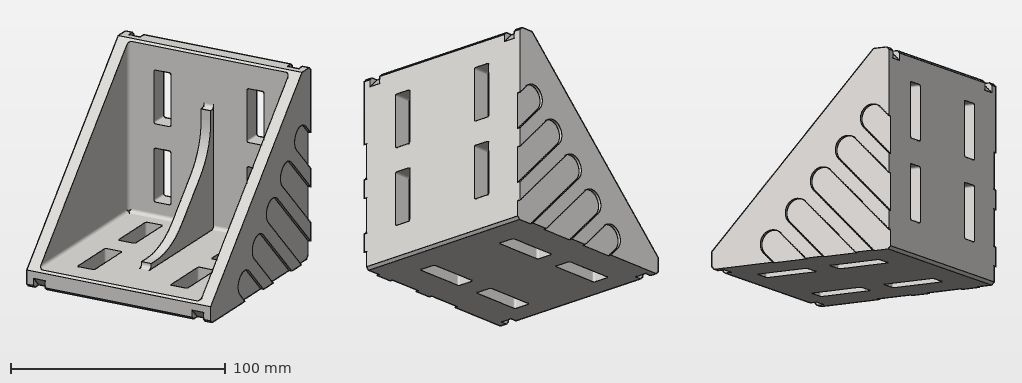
import cadquery as cq
import math

WIDTH = 98.0
LEG = 95.9
TIP_THICKNESS = 8.4
EDGE_CHAMFER = 1.4

PLATE_THICKNESS = 9.5
WALL_THICKNESS = 6.1
POCKET_FILLET = 1.9

SLOT_WIDTH = 9.0
SLOT_LENGTH = 26.9
SLOT_CORNER_RADIUS = 1.0
SLOT_SPACING_X = 49.6
SLOT_DISTANCES = (30.5, 69.5)

RIB_THICKNESS = 5.1
RIB_REACH = 71.4
RIB_FOOT_LEVEL = 12.3
RIB_FOOT_RADIUS = 2.1
RIB_ARC_RADIUS = 34.5
RIB_ARC_START = 64.2

NOTCH_WIDTH = 6.1
NOTCH_LEG = 4.9
NOTCH_OFFSET = 42.2

GROOVE_COUNT = 5
GROOVE_WIDTH = 12.5
GROOVE_DEPTH = 1.5
GROOVE_PITCH = 13.5
GROOVE_END = 36.3

BEYOND = 2 * LEG


def prism(profile, thickness, x_middle=0.0):
    """Extrude a closed YZ profile symmetrically about the plane X = x_middle."""
    return profile.extrude(thickness / 2, both=True).translate((x_middle, 0, 0))


def make_body():
    far = LEG - EDGE_CHAMFER
    outline = cq.Workplane("YZ").polyline([
        (-EDGE_CHAMFER, 0),
        (-far, 0),
        (-LEG, EDGE_CHAMFER),
        (-LEG, TIP_THICKNESS),
        (-TIP_THICKNESS, LEG),
        (-EDGE_CHAMFER, LEG),
        (0, far),
        (0, EDGE_CHAMFER),
    ]).close()
    return prism(outline, WIDTH)


def make_pocket():
    """Block that opens the space between the plates and walls, leaving fillets in the inner edges."""
    block = cq.Workplane("XY").box(
        WIDTH - 2 * WALL_THICKNESS, BEYOND, BEYOND, centered=(True, False, False)
    )
    pocket = block
    for direction in ("|X", "|Y", "|Z"):
        pocket = pocket.intersect(block.edges(direction).fillet(POCKET_FILLET))
    return pocket.translate((0, -PLATE_THICKNESS - BEYOND, PLATE_THICKNESS))


def make_slots():
    """Four slots through the base plate and the same four through the upright plate."""
    base_slot = cq.Workplane("XY").box(SLOT_WIDTH, SLOT_LENGTH, 3 * PLATE_THICKNESS)
    base_slot = base_slot.edges("|Z").fillet(SLOT_CORNER_RADIUS)
    upright_slot = base_slot.rotate((0, 0, 0), (1, 0, 0), 90)
    slots = cq.Workplane("XY")
    for x in (-SLOT_SPACING_X / 2, SLOT_SPACING_X / 2):
        for distance in SLOT_DISTANCES:
            slots = slots.add(base_slot.translate((x, -distance, 0)))
            slots = slots.add(upright_slot.translate((x, 0, distance)))
    return slots.combine()


def make_rib():
    def base(point):
        return -point[0], point[1]

    def upright(point):
        return -point[1], point[0]

    def on_arc(degrees):
        angle = math.radians(degrees)
        return (
            RIB_ARC_START - RIB_ARC_RADIUS * math.sin(angle),
            RIB_FOOT_LEVEL + RIB_ARC_RADIUS * (1 - math.cos(angle)),
        )

    def on_foot_rounding(degrees):
        angle = math.radians(degrees)
        return (
            RIB_REACH - RIB_FOOT_RADIUS * math.sin(angle),
            PLATE_THICKNESS + RIB_FOOT_RADIUS * (1 - math.cos(angle)),
        )

    sunk = PLATE_THICKNESS / 2
    sunk_corner = (sunk, sunk)
    sunk_toe = (RIB_REACH, sunk)
    toe = on_foot_rounding(0)
    rounding_middle = on_foot_rounding(45)
    rounding_top = on_foot_rounding(90)
    foot_top = (RIB_REACH - RIB_FOOT_RADIUS, RIB_FOOT_LEVEL)
    arc_start = on_arc(0)
    arc_middle = on_arc(22.5)
    arc_end = on_arc(45)

    profile = (
        cq.Workplane("YZ")
        .moveTo(*base(sunk_corner))
        .lineTo(*base(sunk_toe))
        .lineTo(*base(toe))
        .threePointArc(base(rounding_middle), base(rounding_top))
        .lineTo(*base(foot_top))
        .lineTo(*base(arc_start))
        .threePointArc(base(arc_middle), base(arc_end))
        .lineTo(*upright(arc_end))
        .threePointArc(upright(arc_middle), upright(arc_start))
        .lineTo(*upright(foot_top))
        .lineTo(*upright(rounding_top))
        .threePointArc(upright(rounding_middle), upright(toe))
        .lineTo(*upright(sunk_toe))
        .close()
    )
    return prism(profile, RIB_THICKNESS)


def make_notches():
    """Triangular cuts across the lower edge of the base tip and the rear edge of the upright tip."""
    base_triangle = [(-LEG, 0), (-LEG + NOTCH_LEG, 0), (-LEG, NOTCH_LEG)]
    upright_triangle = [(-z, -y) for y, z in base_triangle]
    notches = cq.Workplane("XY")
    for triangle in (base_triangle, upright_triangle):
        for x in (-NOTCH_OFFSET, NOTCH_OFFSET):
            outline = cq.Workplane("YZ").polyline(triangle).close()
            notches = notches.add(prism(outline, NOTCH_WIDTH, x))
    return notches.combine()


def make_grooves():
    """Round-ended grooves that run at 45 degrees down and out through the plates' outer faces."""
    grooves = cq.Workplane("XY")
    for x in (-WIDTH / 2, WIDTH / 2):
        outline = cq.Workplane("YZ").center(BEYOND / 2, 0).slot2D(BEYOND + GROOVE_WIDTH, GROOVE_WIDTH)
        groove = prism(outline, 2 * GROOVE_DEPTH, x).rotate((0, 0, 0), (1, 0, 0), -45)
        for index in range(GROOVE_COUNT):
            step = (index - (GROOVE_COUNT - 1) / 2) * GROOVE_PITCH
            grooves = grooves.add(groove.translate((0, -GROOVE_END - step, GROOVE_END - step)))
    return grooves.combine()


result = (
    make_body()
    .cut(make_pocket())
    .union(make_rib())
    .cut(make_slots())
    .cut(make_notches())
    .cut(make_grooves())
)